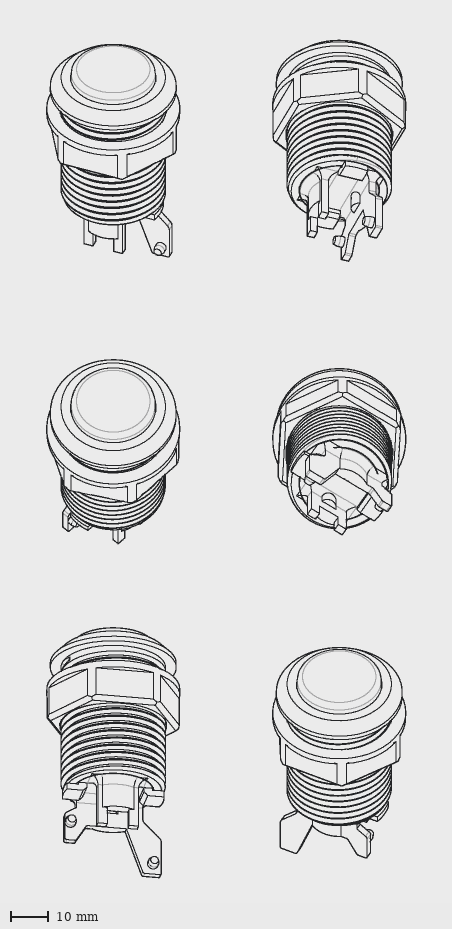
import cadquery as cq
import math


BEZEL_DIA = 33.2
BEZEL_RIM_HEIGHT = 1.35
BEZEL_HEIGHT = 4.2
BEZEL_TOP_DIA = BEZEL_DIA - 2 * (BEZEL_HEIGHT - BEZEL_RIM_HEIGHT)
BUTTON_DIA = 22.15
BUTTON_TOP = 6.95
BUTTON_EDGE_RADIUS = 1.4
BUTTON_BORE_DIA = 22.5
BUTTON_SEAT = 0.0

BARREL_BOTTOM = -35.7
BARREL_CHAMFER = 1.15
THREAD_DIA = 27.6
BARREL_END_DIA = THREAD_DIA - 2 * BARREL_CHAMFER
THREAD_PITCH = 25.4 / 12
THREAD_DEPTH = THREAD_PITCH * math.sqrt(3) / 2 * 5 / 8
FLANK_ANGLE = 30
CUTTER_OVERSHOOT = 0.2
THREAD_TURNS = 17.5
THREAD_TOP = -0.9
BASE_BORE_DIA = 21.2

NUT_DIA = 35.1
NUT_TOP = -6.1
NUT_BOTTOM = -16.9
NUT_COLLAR_HEIGHT = 1.9
NUT_ACROSS_FLATS = 31.5
NUT_CHAMFER = 1.2
NUT_BORE_DIA = 28.2

PLUG_DIA = 20.9
ROOT_RADIUS = 2.05
PLATE_INNER = 5.0
PLATE_THICKNESS = 2.0
PLATE_OUTER = PLATE_INNER + PLATE_THICKNESS
LEG_OUTER = 5.5
LEG_WIDTH = 2.55
LEG_BOTTOM = -48.9
SHIELD_DIA = 16.35
SHIELD_WIDTH = 8.8
SHIELD_BOTTOM = -44.2
STUB_INNER = 3.5
STUB_BOTTOM = -40.05
TERMINAL_BOTTOM = BUTTON_TOP - 63.65
PLATE_HALF_WIDTH = 8.9

WING_DIA = 26.8
WING_WIDTH = 6.35
WING_TOP = -36.2
WING_BOTTOM = -37.95
WING_INNER = 7.65
WING_CHAMFER = 1.0

PIN_DIA = 2.85
PIN_TIP_DIA = 2.1
PIN_SHANK = 1.3
PIN_LENGTH = 2.5
PIN_PLACES = [(-10.55, -43.65), (11.6, -53.8)]


def cylinder(diameter, bottom, top):
    """Solid cylinder on the switch axis between two heights."""
    return cq.Workplane("XY").workplane(offset=bottom).circle(diameter / 2).extrude(top - bottom)


def box(x_range, y_range, z_range):
    """Box between two limits on each axis."""
    sizes = [high - low for low, high in (x_range, y_range, z_range)]
    corner = (x_range[0], y_range[0], z_range[0])
    return cq.Workplane("XY").box(*sizes, centered=False).translate(corner)


def thread_groove():
    """Helical 60 degree groove with a tangential run-out at its upper end."""
    crest = THREAD_DIA / 2
    root = crest - THREAD_DEPTH
    outside = crest + CUTTER_OVERSHOOT
    root_half = THREAD_PITCH / 8
    outside_half = root_half + (outside - root) * math.tan(math.radians(FLANK_ANGLE))
    section = [
        (root, -root_half),
        (outside, -outside_half),
        (outside, outside_half),
        (root, root_half),
    ]
    length = THREAD_TURNS * THREAD_PITCH
    helix = cq.Wire.makeHelix(THREAD_PITCH, length, root)
    coil = cq.Workplane("XZ").polyline(section).close().sweep(cq.Workplane(helix), isFrenet=True)
    coil = coil.translate((0, 0, THREAD_TOP - length))

    mirrored = [(-x, z + THREAD_TOP) for x, z in section]
    run_out = cq.Workplane("XZ").polyline(mirrored).close().extrude(THREAD_DIA / 2)
    return coil, run_out


def make_housing():
    barrel = cylinder(THREAD_DIA, BARREL_BOTTOM, 0).faces("<Z").chamfer(BARREL_CHAMFER)
    for cutter in thread_groove():
        barrel = barrel.cut(cutter)
    bezel = cylinder(BEZEL_DIA, 0, BEZEL_HEIGHT)
    bezel = bezel.faces(">Z").chamfer((BEZEL_DIA - BEZEL_TOP_DIA) / 2)
    housing = barrel.union(bezel)
    housing = housing.cut(cylinder(BASE_BORE_DIA, BARREL_BOTTOM, BEZEL_HEIGHT))
    return housing.cut(cylinder(BUTTON_BORE_DIA, BUTTON_SEAT, BEZEL_HEIGHT))


def make_button():
    return cylinder(BUTTON_DIA, BUTTON_SEAT, BUTTON_TOP).faces(">Z").edges().fillet(BUTTON_EDGE_RADIUS)


def make_nut():
    """Hexagon nut with corners on the X axis, rounded off to the diameter of its collar."""
    across_corners = NUT_ACROSS_FLATS / math.cos(math.radians(30))
    hexagon = cq.Workplane("XY").workplane(offset=NUT_BOTTOM).polygon(6, across_corners)
    nut = hexagon.extrude(NUT_TOP - NUT_BOTTOM).faces("<Z").chamfer(NUT_CHAMFER)
    nut = nut.intersect(cylinder(NUT_DIA, NUT_BOTTOM, NUT_TOP))
    nut = nut.union(cylinder(NUT_DIA, NUT_TOP - NUT_COLLAR_HEIGHT, NUT_TOP))
    return nut.cut(cylinder(NUT_BORE_DIA, NUT_BOTTOM, NUT_TOP))


def shield(side):
    """Round-backed rib on the -Y (side = -1) or +Y (side = 1) side of the base."""
    y_range = sorted((side * PLATE_INNER, side * SHIELD_DIA / 2))
    half = SHIELD_WIDTH / 2
    block = box((-half, half), y_range, (SHIELD_BOTTOM, BARREL_BOTTOM))
    return block.intersect(cylinder(SHIELD_DIA, SHIELD_BOTTOM, BARREL_BOTTOM))


def leg_bridge():
    """Plate on the -Y side, cut out below the shield to leave two legs."""
    y_range = (-PLATE_OUTER, -PLATE_INNER)
    gap = LEG_OUTER - LEG_WIDTH
    plate = box((-LEG_OUTER, LEG_OUTER), y_range, (LEG_BOTTOM, BARREL_BOTTOM))
    return plate.cut(box((-gap, gap), y_range, (LEG_BOTTOM, SHIELD_BOTTOM)))


def terminal_plate():
    """Plate on the +Y side with a short terminal on the left and a long one on the right."""
    left = -11.95
    left_bottom = -48.75
    right = 13.9
    right_shoulder = -46.6
    outline = [
        (-PLATE_HALF_WIDTH, BARREL_BOTTOM),
        (-PLATE_HALF_WIDTH, -39.15),
        (left, -41.0),
        (left, left_bottom),
        (-9.05, left_bottom),
        (-6.2, SHIELD_BOTTOM),
        (4.5, SHIELD_BOTTOM),
        (9.05, TERMINAL_BOTTOM),
        (right, TERMINAL_BOTTOM),
        (right, right_shoulder),
        (PLATE_HALF_WIDTH, right_shoulder + right - PLATE_HALF_WIDTH),
        (PLATE_HALF_WIDTH, BARREL_BOTTOM),
    ]
    plate = cq.Workplane("XZ", origin=(0, PLATE_OUTER, 0)).polyline(outline).close()
    plate = plate.extrude(PLATE_THICKNESS)
    corner_radii = {2: 0.95, 3: 0.5, 4: 0.5, 5: 0.65, 7: 0.65, 8: 0.3, 9: 1.6, 10: 2.0}
    for corner, radius in corner_radii.items():
        x, z = outline[corner]
        edge = cq.selectors.NearestToPointSelector((x, PLATE_OUTER - PLATE_THICKNESS / 2, z))
        plate = plate.edges("|Y").edges(edge).fillet(radius)
    return plate


def rounded_root(lug):
    """Lug with a fillet where it meets the plug face, kept within the end of the barrel."""
    block = cylinder(NUT_DIA, BARREL_BOTTOM, BUTTON_SEAT)
    joined = block.union(lug)
    at_barrel_end = cq.selectors.NearestToPointSelector((0, 0, BARREL_BOTTOM))
    plug_face = joined.faces("|Z").faces(at_barrel_end).val()
    filleted = joined.newObject(plug_face.innerWires()).edges().fillet(ROOT_RADIUS)
    root = filleted.intersect(cylinder(BARREL_END_DIA, BARREL_BOTTOM - ROOT_RADIUS, BARREL_BOTTOM))
    return lug.union(root)


def stub(side):
    """Short round boss behind each shield."""
    diameter = SHIELD_DIA / 2 - STUB_INNER
    centre = side * (STUB_INNER + diameter / 2)
    return cylinder(diameter, STUB_BOTTOM, BARREL_BOTTOM).translate((0, centre, 0))


def wing(side):
    """Locking wing on the -X (side = -1) or +X (side = 1) side, stepped at the plug diameter."""
    inner = side * WING_INNER
    outer = side * WING_DIA / 2
    outline = [
        (inner, BARREL_BOTTOM),
        (outer, BARREL_BOTTOM),
        (outer, WING_BOTTOM),
        (inner + side * WING_CHAMFER, WING_BOTTOM),
        (inner, WING_BOTTOM + WING_CHAMFER),
    ]
    bar = cq.Workplane("XZ").polyline(outline).close().extrude(WING_WIDTH / 2, both=True)
    envelope = cylinder(WING_DIA, WING_BOTTOM, WING_TOP).union(cylinder(PLUG_DIA, WING_TOP, BARREL_BOTTOM))
    return bar.intersect(envelope)


def terminal_pin(x, z):
    """Pin on the inner face of a terminal, with a tapered tip."""
    shank = cq.Workplane("XZ", origin=(x, PLATE_INNER, z)).circle(PIN_DIA / 2).extrude(PIN_SHANK)
    tip = shank.faces("<Y").workplane().circle(PIN_DIA / 2)
    tip = tip.workplane(offset=PIN_LENGTH - PIN_SHANK).circle(PIN_TIP_DIA / 2)
    return tip.loft(combine=True)


def make_base():
    base = cylinder(PLUG_DIA, BARREL_BOTTOM, BUTTON_SEAT)
    base = base.union(rounded_root(leg_bridge().union(shield(-1))))
    base = base.union(rounded_root(terminal_plate().union(shield(1))))
    for side in (-1, 1):
        base = base.union(stub(side)).union(wing(side))
    for x, z in PIN_PLACES:
        base = base.union(terminal_pin(x, z))
    return base


housing = make_housing()
button = make_button()
nut = make_nut()
base = make_base()

result = cq.Compound.makeCompound([housing.val(), button.val(), nut.val(), base.val()])